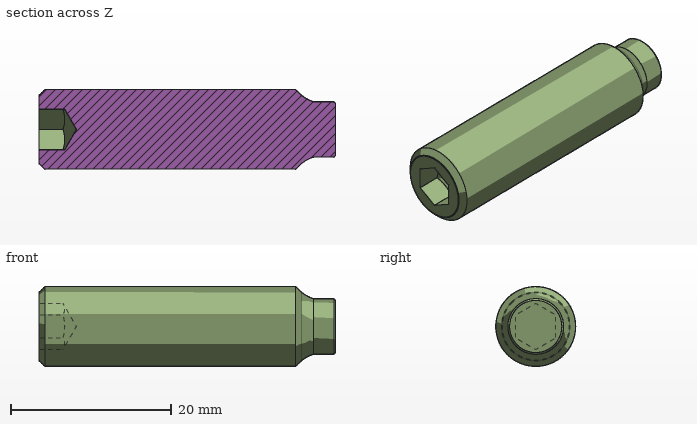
import cadquery as cq
import math

length = 37.0
body_radius = 5.0
entry_chamfer = 0.75
rim_length = 0.05
rim_width = 0.07

point_length = 5.0
point_radius = 3.48
point_chamfer = 0.22
cylinder_length = 2.78

socket_flats = 5.0
socket_depth = 3.0
floor_half_angle = math.radians(60)

shoulder_x = length - point_length
neck_x = length - cylinder_length
cone_length = 0.78
cone_drop = 0.75
neck_arc_radius = 5.0


def make_body():
    profile = (
        cq.Workplane("XY")
        .moveTo(0, 0)
        .lineTo(0, body_radius - entry_chamfer - rim_width)
        .lineTo(rim_length, body_radius - entry_chamfer + rim_length)
        .lineTo(entry_chamfer, body_radius)
        .lineTo(shoulder_x, body_radius)
        .lineTo(shoulder_x + cone_length, body_radius - cone_drop)
        .radiusArc((neck_x, point_radius), -neck_arc_radius)
        .lineTo(length - point_chamfer, point_radius)
        .lineTo(length, point_radius - point_chamfer)
        .lineTo(length, 0)
        .close()
    )
    return profile.revolve(360, (0, 0, 0), (1, 0, 0))


def make_socket():
    """Hexagonal prism, two corners on Z, trimmed to a cone at its inner end."""
    corner_radius = socket_flats / math.sqrt(3)
    tip_x = socket_depth + corner_radius / math.tan(floor_half_angle)
    corners = [
        (corner_radius * math.sin(i * math.pi / 3), corner_radius * math.cos(i * math.pi / 3))
        for i in range(6)
    ]
    hexagon = cq.Workplane("YZ").polyline(corners).close().extrude(tip_x)
    drill = (
        cq.Workplane("XY")
        .polyline([(0, 0), (0, body_radius), (socket_depth, body_radius),
                   (socket_depth, corner_radius), (tip_x, 0)])
        .close()
        .revolve(360, (0, 0, 0), (1, 0, 0))
    )
    return hexagon.intersect(drill)


result = make_body().cut(make_socket())